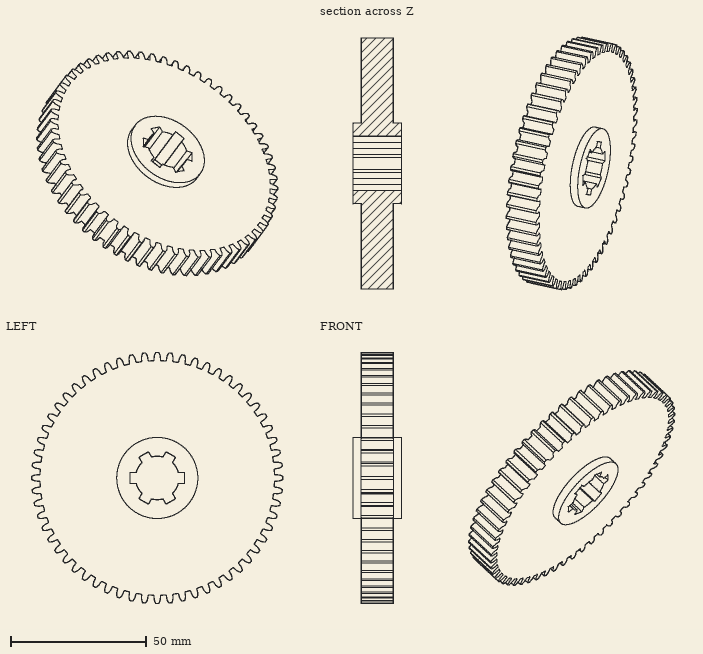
import cadquery as cq
import math

outer_diameter = 93.0
tooth_count = 60
face_width = 12.0

outer_radius = outer_diameter / 2
module = outer_diameter / (tooth_count + 2)
pitch_radius = outer_radius - module
root_radius = 43.4
root_thickness = 2.5
pitch_thickness = 2.3
crown_radius = 45.8
crown_thickness = 1.9
tip_thickness = 1.0
root_fillet = 0.23

hub_diameter = 30.0
hub_length = 18.0

bore_diameter = 16.0
slot_count = 6
slot_width = 4.0
slot_span = 20.0


def polar_point(radius, angle):
    """Point on a circle, with the angle in radians measured from +Z towards +Y."""
    return radius * math.sin(angle), radius * math.cos(angle)


def gear_outline(sketch_plane):
    """Outline of the gear, drawn as one tooth and one root gap at a time."""
    tooth_pitch = 2 * math.pi / tooth_count
    tip_half = tip_thickness / 2 / outer_radius
    crown_half = crown_thickness / 2 / crown_radius
    pitch_half = pitch_thickness / 2 / pitch_radius
    root_half = root_thickness / 2 / root_radius

    fillet_rise = root_fillet * (1 - math.sqrt(0.5))
    fillet_top_radius = root_radius + root_fillet
    fillet_mid_radius = root_radius + fillet_rise
    fillet_mid_half = root_half + fillet_rise / root_radius
    fillet_foot_half = root_half + root_fillet / root_radius

    outline = sketch_plane.moveTo(*polar_point(root_radius, -fillet_foot_half))
    for index in range(tooth_count):
        centre = index * tooth_pitch
        outline = (
            outline
            .threePointArc(
                polar_point(fillet_mid_radius, centre - fillet_mid_half),
                polar_point(fillet_top_radius, centre - root_half),
            )
            .lineTo(*polar_point(pitch_radius, centre - pitch_half))
            .threePointArc(
                polar_point(crown_radius, centre - crown_half),
                polar_point(outer_radius, centre - tip_half),
            )
            .threePointArc(
                polar_point(outer_radius, centre),
                polar_point(outer_radius, centre + tip_half),
            )
            .threePointArc(
                polar_point(crown_radius, centre + crown_half),
                polar_point(pitch_radius, centre + pitch_half),
            )
            .lineTo(*polar_point(fillet_top_radius, centre + root_half))
            .threePointArc(
                polar_point(fillet_mid_radius, centre + fillet_mid_half),
                polar_point(root_radius, centre + fillet_foot_half),
            )
            .threePointArc(
                polar_point(root_radius, centre + tooth_pitch / 2),
                polar_point(root_radius, centre + tooth_pitch - fillet_foot_half),
            )
        )
    return outline.close()


def plane_for(length):
    """Sketch plane at the -X end of a feature of this length centred on the origin."""
    return cq.Workplane("YZ", origin=(-length / 2, 0, 0))


def make_splined_bore():
    bore = plane_for(hub_length).circle(bore_diameter / 2).extrude(hub_length)
    for index in range(slot_count // 2):
        bar = plane_for(hub_length).rect(slot_span, slot_width).extrude(hub_length)
        bore = bore.union(bar.rotate((0, 0, 0), (1, 0, 0), index * 360 / slot_count))
    return bore


toothed_disc = gear_outline(plane_for(face_width)).extrude(face_width)
hub = plane_for(hub_length).circle(hub_diameter / 2).extrude(hub_length)
result = toothed_disc.union(hub).cut(make_splined_bore())